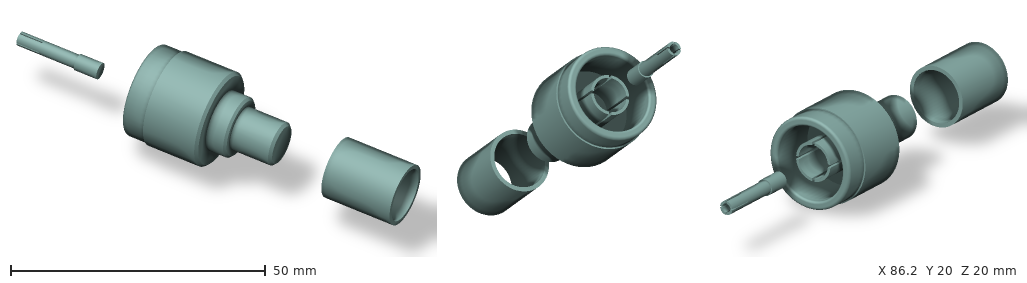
import cadquery as cq

TOTAL_LENGTH = 86.2

PIN_LENGTH = 18.0
PIN_HEAD_LENGTH = 5.0
PIN_HEAD_RADIUS = 1.7
PIN_SHANK_RADIUS = 1.5
PIN_HOLE_RADIUS = 0.95
PIN_SLOT_LENGTH = 5.1
PIN_SLOT_WIDTH = 0.3

BODY_START = 28.1
FRONT_RING_LENGTH = 4.9
FRONT_RING_RADIUS = 9.7
SHELL_LENGTH = 17.0
SHELL_RADIUS = 10.0
SHELL_CHAMFER = 0.6
FRONT_RING_FILLET = 0.6
COLLAR_LENGTH = 4.4
COLLAR_RADIUS = 6.4
COLLAR_CHAMFER = 0.5
STUB_LENGTH = 9.1
STUB_RADIUS = 4.6
STUB_CHAMFER = 0.6
BORE_RADIUS = 7.85
BORE_DEPTH = 10.35
BORE_FILLET = 0.5

COLLET_RADIUS = 4.1
COLLET_HOLE_RADIUS = 3.5
COLLET_SETBACK = 1.3
COLLET_SLOT_WIDTH = 0.6

SLEEVE_LENGTH = 15.3
SLEEVE_RADIUS = COLLAR_RADIUS
SLEEVE_WALL = 0.9


def cylinder(start, length, radius):
    """Solid cylinder along X, beginning at x = start."""
    return cq.Workplane("YZ", origin=(start, 0, 0)).circle(radius).extrude(length)


def cross_slots(start, length, width, span):
    """Two crossed slabs along X that cut four slots into a tube."""
    upright = cq.Workplane("XY").box(length, width, span, centered=(False, True, True))
    slabs = upright.union(upright.rotate((0, 0, 0), (1, 0, 0), 90))
    return slabs.translate((start, 0, 0))


def make_pin():
    shank_length = PIN_LENGTH - PIN_HEAD_LENGTH
    shank = cylinder(0, shank_length, PIN_SHANK_RADIUS)
    head = cylinder(shank_length, PIN_HEAD_LENGTH, PIN_HEAD_RADIUS)
    hole = cylinder(0, PIN_SLOT_LENGTH, PIN_HOLE_RADIUS)
    slots = cross_slots(0, PIN_SLOT_LENGTH, PIN_SLOT_WIDTH, 2 * PIN_HEAD_RADIUS)
    return shank.union(head).cut(hole).cut(slots)


def make_collet():
    """Collet tube that stands on the floor of the bore, part of the connector body."""
    start = BODY_START + COLLET_SETBACK
    length = BORE_DEPTH - COLLET_SETBACK
    tube = cylinder(start, length, COLLET_RADIUS).cut(cylinder(start, length, COLLET_HOLE_RADIUS))
    return tube.cut(cross_slots(start, length, COLLET_SLOT_WIDTH, 2 * SHELL_RADIUS))


def make_connector():
    shell_start = BODY_START + FRONT_RING_LENGTH
    collar_start = BODY_START + SHELL_LENGTH
    stub_start = collar_start + COLLAR_LENGTH
    ring = cylinder(BODY_START, FRONT_RING_LENGTH, FRONT_RING_RADIUS)
    ring = ring.faces("<X").edges().fillet(FRONT_RING_FILLET)
    shell = cylinder(shell_start, SHELL_LENGTH - FRONT_RING_LENGTH, SHELL_RADIUS)
    shell = shell.faces(">X").chamfer(SHELL_CHAMFER)
    collar = cylinder(collar_start, COLLAR_LENGTH, COLLAR_RADIUS).faces(">X").chamfer(COLLAR_CHAMFER)
    stub = cylinder(stub_start, STUB_LENGTH, STUB_RADIUS).faces(">X").chamfer(STUB_CHAMFER)
    outside = ring.union(shell).union(collar).union(stub)

    bore = cylinder(BODY_START, BORE_DEPTH, BORE_RADIUS)
    bore_rim = cq.selectors.RadiusNthSelector(0)
    housing = outside.cut(bore).faces("<X").edges(bore_rim).fillet(BORE_FILLET)
    return housing.union(make_collet())


def make_sleeve():
    start = TOTAL_LENGTH - SLEEVE_LENGTH
    opening = cylinder(start, SLEEVE_LENGTH, SLEEVE_RADIUS - SLEEVE_WALL)
    return cylinder(start, SLEEVE_LENGTH, SLEEVE_RADIUS).cut(opening)


pin = make_pin()
connector = make_connector()
sleeve = make_sleeve()

result = cq.Compound.makeCompound([pin.val(), connector.val(), sleeve.val()])